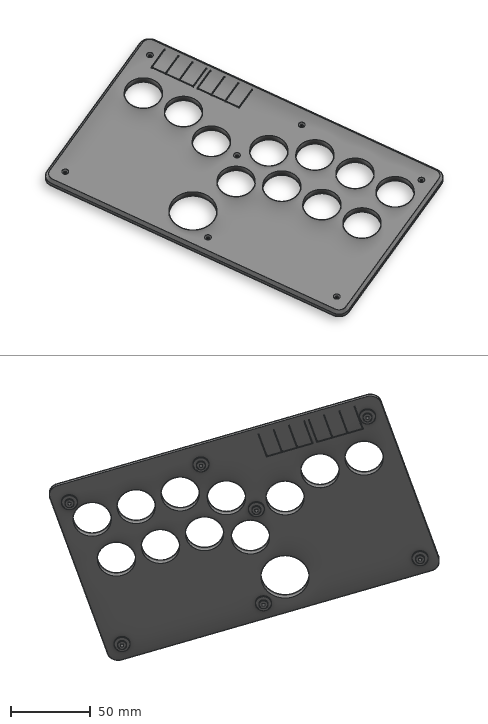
import cadquery as cq

plate_length = 218.0
plate_width = 130.1
plate_thickness = 4.5
corner_radius = 7.0
top_chamfer = 2.0

button_diameter = 24.0
button_pitch = 29.0
thumb_diameter = 30.0
thumb_center = (-13.5, -40.8)

button_rows = [
    (-86.8, 24.0, 2),
    (30.5, 35.5, 3),
    (24.9, 4.0, 3),
]
single_buttons = [
    (-31.0, 12.5),
    (4.0, 24.0),
    (-1.7, -7.2),
]

screw_side_x = 98.0
screw_back_y = 51.9
screw_front_y = -54.0
screw_points = [
    (-screw_side_x, screw_back_y),
    (screw_side_x, screw_back_y),
    (-screw_side_x, screw_front_y),
    (screw_side_x, screw_front_y),
    (11.5, screw_back_y),
    (5.0, screw_front_y),
    (-11.5, 11.0),
]
screw_diameter = 2.1
countersink_diameter = 4.1
countersink_angle = 90.0
boss_height = 2.6
boss_diameter = 10.0
boss_tip_diameter = 5.7
boss_base_height = 1.3

key_slot_width = 0.55
key_pitch = 10.0
keys_per_group = 3
key_group_starts = [-92.5, -59.3]
key_slot_back_y = 60.5
key_slot_front_y = 43.8


def make_plate():
    """Rounded plate with its underside at Z = 0 and a chamfered top rim."""
    return (
        cq.Workplane("XY")
        .rect(plate_length, plate_width)
        .extrude(plate_thickness)
        .edges("|Z")
        .fillet(corner_radius)
        .faces(">Z")
        .edges()
        .chamfer(top_chamfer)
    )


def make_bosses():
    """Round bosses below the plate, each ending in a narrower step."""
    boss = (
        cq.Workplane("XY")
        .circle(boss_diameter / 2)
        .extrude(-boss_base_height)
        .faces("<Z")
        .workplane()
        .circle(boss_tip_diameter / 2)
        .extrude(boss_height - boss_base_height)
        .val()
    )
    return cq.Workplane("XY").pushPoints(screw_points).eachpoint(lambda loc: boss.moved(loc))


def cut_buttons(body):
    """Cut the round button holes and the larger thumb hole through the plate."""
    row_points = [
        (first_x + i * button_pitch, y)
        for first_x, y, count in button_rows
        for i in range(count)
    ]
    top = body.faces(">Z").workplane(origin=(0, 0, 0))
    body = top.pushPoints(row_points + single_buttons).hole(button_diameter)
    return body.pushPoints([thumb_center]).hole(thumb_diameter)


def cut_screw_holes(body):
    """Cut the countersunk screw holes through plate and bosses."""
    top = body.faces(">Z").workplane(origin=(0, 0, 0))
    return top.pushPoints(screw_points).cskHole(screw_diameter, countersink_diameter, countersink_angle)


def key_slots(start_x):
    """Comb-shaped cutter: one slot beside each key and one slot across their fronts."""
    slot_length = key_slot_back_y - key_slot_front_y
    group_length = keys_per_group * key_pitch + key_slot_width
    left = start_x - key_slot_width / 2
    comb = cq.Workplane("XY").box(group_length, key_slot_width, plate_thickness, centered=False)
    for i in range(keys_per_group + 1):
        tooth = cq.Workplane("XY").box(key_slot_width, slot_length, plate_thickness, centered=False)
        comb = comb.union(tooth.translate((i * key_pitch, 0, 0)))
    return comb.translate((left, key_slot_front_y, 0))


result = make_plate().union(make_bosses())
result = cut_buttons(result)
result = cut_screw_holes(result)
for group_start in key_group_starts:
    result = result.cut(key_slots(group_start))